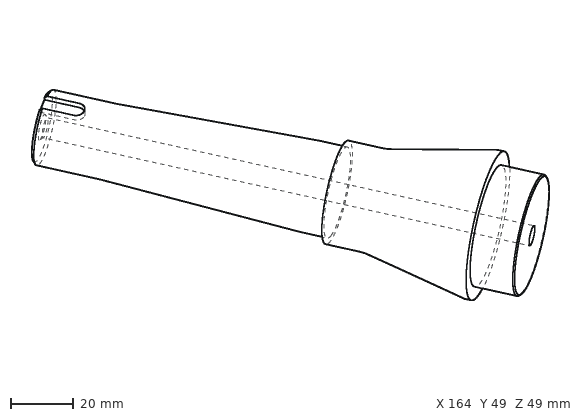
import cadquery as cq
import math

total_length = 164.0
nose_end = 22.3
taper_end = 89.9
collar_start = 98.7
blend_start = 110.2
blend_end = 113.2
rim_start = 147.1
rim_end = 149.2

nose_radius = 12.5
shank_radius = 15.0
collar_radius = 17.0
rim_radius = 24.52
journal_radius = 20.0
nose_chamfer = 1.0
journal_chamfer = 0.5

bore_radius = 3.3
countersink_radius = 4.3
countersink_depth = countersink_radius - bore_radius

keyway_width = 5.4
keyway_length = 14.3
keyway_floor = 10.2

blend_corner = (blend_start + blend_end) / 2
flare_angle = math.atan2(rim_radius - collar_radius, rim_start - blend_corner)
blend_tangent = blend_corner - blend_start
blend_radius = blend_tangent / math.tan(flare_angle / 2)


def blend_point(angle):
    """Point on the blend arc where its slope has the given angle."""
    return (
        blend_start + blend_radius * math.sin(angle),
        collar_radius + blend_radius * (1 - math.cos(angle)),
    )


def make_body():
    """Revolve the stepped, tapered and flared half profile about X."""
    profile = (
        cq.Workplane("XY")
        .moveTo(0, 0)
        .lineTo(0, nose_radius - nose_chamfer)
        .lineTo(nose_chamfer, nose_radius)
        .lineTo(nose_end, nose_radius)
        .lineTo(taper_end, shank_radius)
        .lineTo(collar_start, shank_radius)
        .lineTo(collar_start, collar_radius)
        .lineTo(blend_start, collar_radius)
        .threePointArc(blend_point(flare_angle / 2), blend_point(flare_angle))
        .lineTo(rim_start, rim_radius)
        .lineTo(rim_end, rim_radius)
        .lineTo(rim_end, journal_radius)
        .lineTo(total_length - journal_chamfer, journal_radius)
        .lineTo(total_length, journal_radius - journal_chamfer)
        .lineTo(total_length, 0)
        .close()
    )
    return profile.revolve(360, (0, 0, 0), (1, 0, 0))


def make_bore():
    """Revolve the through bore and its countersink about X."""
    profile = (
        cq.Workplane("XY")
        .moveTo(0, 0)
        .lineTo(0, countersink_radius)
        .lineTo(countersink_depth, bore_radius)
        .lineTo(total_length, bore_radius)
        .lineTo(total_length, 0)
        .close()
    )
    return profile.revolve(360, (0, 0, 0), (1, 0, 0))


def make_keyway():
    """Round-ended slot cut down from the top of the nose."""
    half_width = keyway_width / 2
    round_center = keyway_length - half_width
    return (
        cq.Workplane("XY")
        .workplane(offset=keyway_floor)
        .moveTo(0, -half_width)
        .lineTo(round_center, -half_width)
        .threePointArc((keyway_length, 0), (round_center, half_width))
        .lineTo(0, half_width)
        .close()
        .extrude(shank_radius - keyway_floor)
    )


result = make_body().cut(make_bore()).cut(make_keyway())